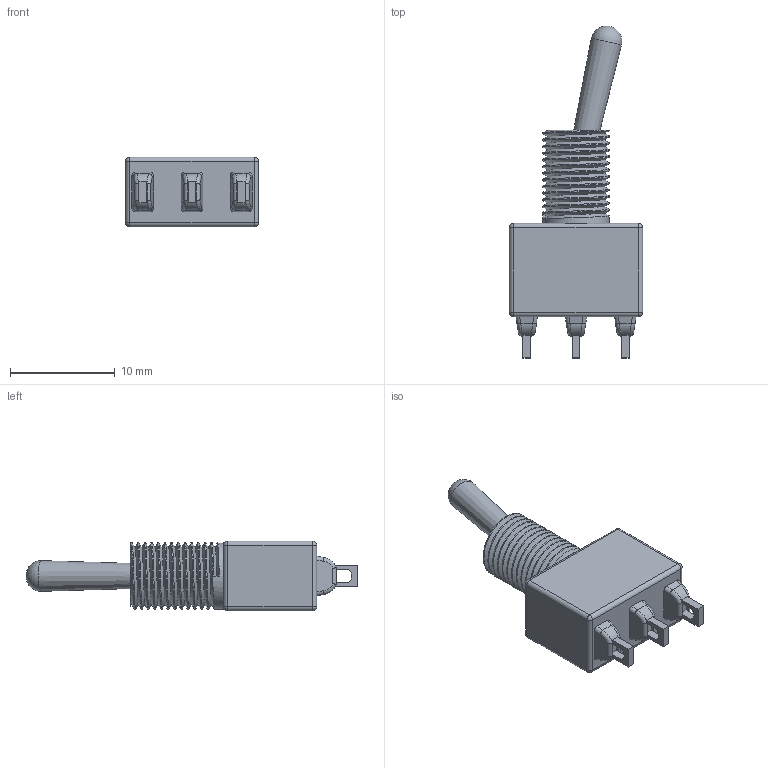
import cadquery as cq
import math


body_width = 12.7
body_length = 8.89
body_height = 6.65
body_fillet = 0.4

bushing_diameter = 6.35
bushing_length = 8.89
thread_pitch = 0.635
thread_groove_width = 0.53
thread_flank_angle = 30.0
thread_start = 0.66
thread_overrun = 0.6
groove_clearance = 0.05

lever_reach = 9.94
lever_tilt = 12.5
lever_pivot = 4.26
lever_tip_radius = 1.48
lever_neck_radius = 1.22

terminal_count = 3
terminal_spacing = 4.7
terminal_length = 3.94
blade_thickness = 0.76
blade_width = 2.05
blade_root_depth = 0.4
eye_width = 1.27
eye_pocket_depth = 0.3
eye_end_margin = 0.58
eye_arc_rise = 0.4

collar_length = 1.86
collar_base_width = 2.06
collar_end_width = 1.48
collar_base_height = 3.8
collar_shoulder_height = 3.5
collar_shoulder_depth = 0.68
collar_end_height = 1.6
collar_bulge = 0.15
collar_fillet = 0.36


def make_body():
    """Rectangular case with every edge rounded."""
    return (
        cq.Workplane("XY")
        .box(body_width, body_length, body_height)
        .edges()
        .fillet(body_fillet)
        .translate((0, -body_length / 2, 0))
    )


def make_bushing():
    """Cylinder along +Y with a right-hand V-groove thread that starts on the -X side."""
    radius = bushing_diameter / 2
    groove_depth = thread_groove_width / 2 / math.tan(math.radians(thread_flank_angle))
    mouth_half = (groove_depth + groove_clearance) * math.tan(math.radians(thread_flank_angle))
    helix_length = bushing_length + thread_overrun - thread_start

    cylinder = cq.Workplane("XY").circle(radius).extrude(bushing_length).rotate((0, 0, 0), (0, 0, 1), 90)
    helix = cq.Wire.makeHelix(thread_pitch, helix_length, radius - groove_depth)
    groove = (
        cq.Workplane("XZ")
        .moveTo(radius - groove_depth, 0)
        .lineTo(radius + groove_clearance, mouth_half)
        .lineTo(radius + groove_clearance, -mouth_half)
        .close()
        .sweep(cq.Workplane(helix), isFrenet=True)
        .rotate((0, 0, 0), (0, 0, 1), 180)
        .translate((0, 0, thread_start))
    )
    return cylinder.cut(groove).rotate((0, 0, 0), (1, 0, 0), -90)


def make_lever():
    """Tapered round lever with a ball end, tilted toward +X about its pivot inside the bushing."""
    tilt = math.radians(lever_tilt)
    ball_y = bushing_length + lever_reach - lever_tip_radius
    ball_distance = (ball_y - lever_pivot) / math.cos(tilt)
    neck_distance = (bushing_length - lever_pivot) / math.cos(tilt)
    taper = (lever_tip_radius - lever_neck_radius) / (ball_distance - neck_distance)
    pivot_radius = lever_tip_radius - taper * ball_distance
    arc_offset = lever_tip_radius * math.sqrt(0.5)
    return (
        cq.Workplane("XY")
        .lineTo(pivot_radius, 0)
        .lineTo(lever_tip_radius, ball_distance)
        .threePointArc((arc_offset, ball_distance + arc_offset), (0, ball_distance + lever_tip_radius))
        .close()
        .revolve(360, (0, 0), (0, 1))
        .rotate((0, 0, 0), (0, 0, 1), -lever_tilt)
        .translate((0, lever_pivot, 0))
    )


def make_collar():
    """Potting collar on the -Y face: tapered in X, shouldered and rounded in Z."""
    base_y = -body_length
    shoulder_y = base_y - collar_shoulder_depth
    end_y = base_y - collar_length
    base_z = collar_base_height / 2
    shoulder_z = collar_shoulder_height / 2
    end_z = collar_end_height / 2
    middle = ((shoulder_y + end_y) / 2 - collar_bulge, (shoulder_z + end_z) / 2 + collar_bulge)

    side_profile = (
        cq.Workplane("YZ")
        .moveTo(base_y, -base_z)
        .lineTo(base_y, base_z)
        .lineTo(shoulder_y, shoulder_z)
        .threePointArc(middle, (end_y, end_z))
        .lineTo(end_y, -end_z)
        .threePointArc((middle[0], -middle[1]), (shoulder_y, -shoulder_z))
        .close()
        .extrude(collar_base_width, both=True)
    )
    plan_profile = (
        cq.Workplane("XY")
        .moveTo(-collar_base_width / 2, base_y)
        .lineTo(collar_base_width / 2, base_y)
        .lineTo(collar_end_width / 2, end_y)
        .lineTo(-collar_end_width / 2, end_y)
        .close()
        .extrude(collar_base_height, both=True)
    )
    collar = side_profile.intersect(plan_profile)
    return collar.faces("<X or >X").edges("not >Y").fillet(collar_fillet)


def make_blade():
    """Solder blade that starts inside the body."""
    return (
        cq.Workplane("XY")
        .box(blade_thickness, terminal_length + blade_root_depth, blade_width, centered=(True, False, True))
        .translate((0, -body_length - terminal_length, 0))
    )


def make_eye():
    """D-shaped opening, as thick as the blade, that runs a little way into the collar."""
    eye_tip = -body_length - terminal_length + eye_end_margin
    eye_root = -body_length - collar_length + eye_pocket_depth
    return (
        cq.Workplane("YZ")
        .moveTo(eye_root, -eye_width / 2)
        .lineTo(eye_root, eye_width / 2)
        .lineTo(eye_tip + eye_arc_rise, eye_width / 2)
        .threePointArc((eye_tip, 0), (eye_tip + eye_arc_rise, -eye_width / 2))
        .close()
        .extrude(blade_thickness / 2, both=True)
    )


def make_terminal():
    """Blade in its collar, with the eye cut through the blade."""
    return make_collar().union(make_blade()).cut(make_eye())


result = make_body().union(make_bushing()).union(make_lever())
terminal = make_terminal()
for index in range(terminal_count):
    terminal_x = (index - (terminal_count - 1) / 2) * terminal_spacing
    result = result.union(terminal.translate((terminal_x, 0, 0)))